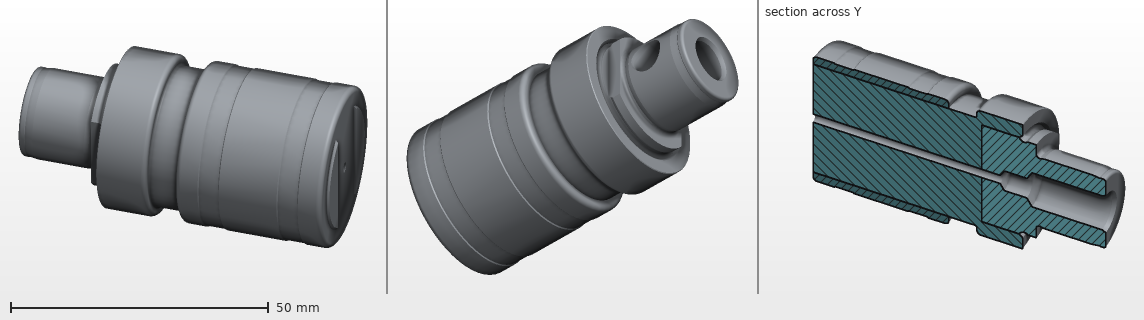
import cadquery as cq
import math


overall_length = 64.0
outer_radius = 16.0
flow_radius = 1.0

nipple_radius = 9.0
tip_radius = 8.85
tip_fillet = 0.6
tip_land_end = 1.2
relief_radius = 8.75
relief_start = 1.35
lead_in_end = 2.95
root_taper_start = 13.35
root_taper_end = 14.3
root_radius = 8.75

flange_start = 15.05
flange_radius = 12.0
flange_rim_end = 16.8
undercut_start = 17.4
undercut_radius = 11.65
undercut_end = 17.8
flat_half_width = 9.5
shank_radius = 12.5
shank_end = 27.0
root_fillet = flange_start - root_taper_end

mouth_radius = 4.75
bore_radius = 4.3
mouth_chamfer_depth = 0.8
bore_depth = 16.0
inner_bore_radius = 2.45
inner_bore_end = 22.0
drill_tip_slope = math.tan(math.radians(31))
side_hole_radius = 3.6
side_hole_x = 9.0

collar_start = 18.0
collar_end = 28.0
collar_front_chamfer = 0.15
collar_back_fillet = 1.0
thread_mouth_radius = 13.1
neck_radius = 13.95
neck_fillet = 0.5

sleeve_start = 34.0
sleeve_end = 63.5
sleeve_fillet = 1.0
groove_depth = 0.2
groove_width = 4.3
groove_starts = [38.55, 54.55]

lug_radius = 12.2
lug_chamfer = 0.4
lug_slot_half_width = 5.9


def revolve_about_x(profile):
    """Turn a closed (x, radius) profile about the X axis."""
    return profile.close().revolve(360, (0, 0, 0), (1, 0, 0))


def fillet_middle(center_x, center_radius, radius, angle):
    """Midpoint of a fillet arc; the angle is measured from +X in the profile plane."""
    turn = math.radians(angle)
    return center_x + radius * math.cos(turn), center_radius + radius * math.sin(turn)


def make_adapter():
    tip_center_radius = tip_radius - tip_fillet
    root_center_radius = root_radius + root_fillet
    runout = shank_radius - undercut_radius
    runout_end = undercut_end + runout
    cone_end = bore_depth + (bore_radius - inner_bore_radius) * drill_tip_slope
    inner_cone_end = inner_bore_end + (inner_bore_radius - flow_radius) * drill_tip_slope

    adapter = revolve_about_x(
        cq.Workplane("XY")
        .moveTo(0, mouth_radius)
        .lineTo(0, tip_center_radius)
        .threePointArc(
            fillet_middle(tip_fillet, tip_center_radius, tip_fillet, 135),
            (tip_fillet, tip_radius),
        )
        .lineTo(tip_land_end, tip_radius)
        .lineTo(relief_start, relief_radius)
        .lineTo(lead_in_end, nipple_radius)
        .lineTo(root_taper_start, nipple_radius)
        .lineTo(root_taper_end, root_radius)
        .threePointArc(
            fillet_middle(root_taper_end, root_center_radius, root_fillet, -45),
            (flange_start, root_center_radius),
        )
        .lineTo(flange_start, flange_radius)
        .lineTo(flange_rim_end, flange_radius)
        .lineTo(undercut_start, undercut_radius)
        .lineTo(undercut_end, undercut_radius)
        .threePointArc(
            fillet_middle(undercut_end, shank_radius, runout, -45),
            (runout_end, shank_radius),
        )
        .lineTo(shank_end, shank_radius)
        .lineTo(shank_end, flow_radius)
        .lineTo(inner_cone_end, flow_radius)
        .lineTo(inner_bore_end, inner_bore_radius)
        .lineTo(cone_end, inner_bore_radius)
        .lineTo(bore_depth, bore_radius)
        .lineTo(mouth_chamfer_depth, bore_radius)
    )

    flat_length = undercut_end - flange_start
    for side in (1, -1):
        adapter = adapter.cut(
            cq.Workplane("XY")
            .box(flat_length, flange_radius, 2 * flange_radius, centered=(False, True, True))
            .translate((flange_start, side * (flat_half_width + flange_radius / 2), 0))
        )

    side_hole = (
        cq.Workplane("XZ")
        .center(side_hole_x, 0)
        .circle(side_hole_radius)
        .extrude(-outer_radius)
    )
    return adapter.cut(side_hole)


def make_coupler_body():
    countersink_end = collar_start + thread_mouth_radius - shank_radius
    fillet_start = collar_end - collar_back_fillet
    fillet_center_radius = outer_radius - collar_back_fillet
    neck_start = collar_end + neck_fillet
    neck_center_radius = neck_radius + neck_fillet

    body = revolve_about_x(
        cq.Workplane("XY")
        .moveTo(collar_start, thread_mouth_radius)
        .lineTo(collar_start, outer_radius - collar_front_chamfer)
        .lineTo(collar_start + collar_front_chamfer, outer_radius)
        .lineTo(fillet_start, outer_radius)
        .threePointArc(
            fillet_middle(fillet_start, fillet_center_radius, collar_back_fillet, 45),
            (collar_end, fillet_center_radius),
        )
        .lineTo(collar_end, neck_center_radius)
        .threePointArc(
            fillet_middle(neck_start, neck_center_radius, neck_fillet, 225),
            (neck_start, neck_radius),
        )
        .lineTo(sleeve_end, neck_radius)
        .lineTo(sleeve_end, lug_radius)
        .lineTo(overall_length - lug_chamfer, lug_radius)
        .lineTo(overall_length, lug_radius - lug_chamfer)
        .lineTo(overall_length, flow_radius)
        .lineTo(shank_end, flow_radius)
        .lineTo(shank_end, shank_radius)
        .lineTo(countersink_end, shank_radius)
    )

    lug_height = overall_length - sleeve_end
    slot = (
        cq.Workplane("XY")
        .box(lug_height, 2 * lug_slot_half_width, 2 * outer_radius, centered=(False, True, True))
        .translate((sleeve_end, 0, 0))
    )
    return body.cut(slot)


def make_grip_groove(start):
    """Ring that cuts one shallow groove with 45-degree walls."""
    floor_radius = outer_radius - groove_depth
    end = start + groove_width
    return revolve_about_x(
        cq.Workplane("XY")
        .moveTo(start, outer_radius)
        .lineTo(start + groove_depth, floor_radius)
        .lineTo(end - groove_depth, floor_radius)
        .lineTo(end, outer_radius)
    )


def make_sleeve():
    sleeve = (
        cq.Workplane("YZ", origin=(sleeve_start, 0, 0))
        .circle(outer_radius)
        .extrude(sleeve_end - sleeve_start)
        .faces("<X or >X")
        .edges()
        .fillet(sleeve_fillet)
    )
    bore = (
        cq.Workplane("YZ", origin=(sleeve_start, 0, 0))
        .circle(neck_radius)
        .extrude(sleeve_end - sleeve_start)
    )
    sleeve = sleeve.cut(bore)
    for start in groove_starts:
        sleeve = sleeve.cut(make_grip_groove(start))
    return sleeve


adapter = make_adapter()
coupler_body = make_coupler_body()
sleeve = make_sleeve()

result = cq.Compound.makeCompound([adapter.val(), coupler_body.val(), sleeve.val()])